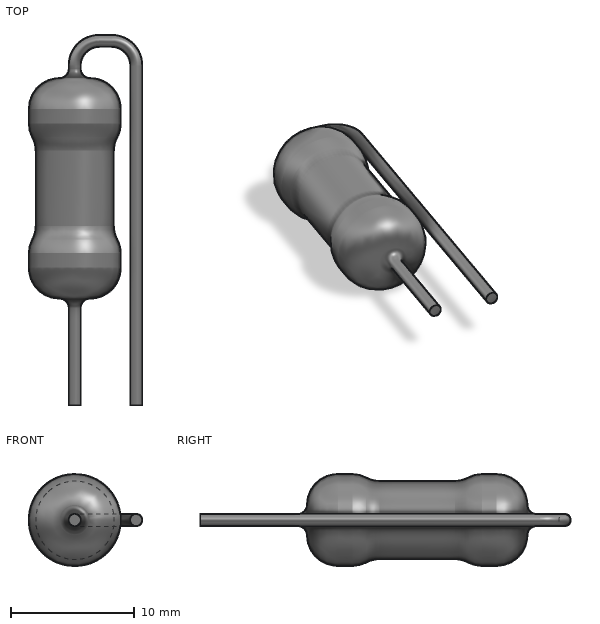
import cadquery as cq
import math

overall_length = 30.1
lead_diameter = 1.0
lead_spacing = 5.0
bend_radius = 2.0
lead_straight = 0.3
neck_fillet = 0.72

body_length = 17.95
cap_diameter = 7.5
waist_diameter = 6.38
cap_land = 1.17
shoulder_length = 2.2

lead_radius = lead_diameter / 2
cap_radius = cap_diameter / 2
waist_radius = waist_diameter / 2
neck_radius = lead_radius + neck_fillet
end_round = cap_radius - neck_radius
bend_start_y = overall_length - lead_radius - bend_radius
body_top_y = bend_start_y - lead_straight - neck_fillet
body_middle_y = body_top_y - body_length / 2

half_step = (cap_radius - waist_radius) / 2
half_shoulder = shoulder_length / 2
shoulder_radius = (half_shoulder**2 + half_step**2) / (2 * half_step)


def make_body():
    """Revolved body with both necks; its profile is symmetric about the waist middle."""
    body_end = body_length / 2
    neck_end = body_end + neck_fillet
    land_outer = body_end - end_round
    land_inner = land_outer - cap_land
    shoulder_middle = land_inner - half_shoulder
    waist_end = land_inner - shoulder_length
    shoulder_middle_radius = waist_radius + half_step
    profile = (
        cq.Workplane("XY", origin=(0, body_middle_y, 0))
        .moveTo(0, -neck_end)
        .lineTo(lead_radius, -neck_end)
        .radiusArc((neck_radius, -body_end), neck_fillet)
        .radiusArc((cap_radius, -land_outer), -end_round)
        .lineTo(cap_radius, -land_inner)
        .radiusArc((shoulder_middle_radius, -shoulder_middle), -shoulder_radius)
        .radiusArc((waist_radius, -waist_end), shoulder_radius)
        .lineTo(waist_radius, waist_end)
        .radiusArc((shoulder_middle_radius, shoulder_middle), shoulder_radius)
        .radiusArc((cap_radius, land_inner), -shoulder_radius)
        .lineTo(cap_radius, land_outer)
        .radiusArc((neck_radius, body_end), -end_round)
        .radiusArc((lead_radius, neck_end), neck_fillet)
        .lineTo(0, neck_end)
        .close()
    )
    return profile.revolve(360, (0, 0, 0), (0, 1, 0))


def make_straight_lead():
    """Lead leaving the lower end; it reaches into the body for a solid joint."""
    return cq.Workplane("XZ").circle(lead_radius).extrude(-body_middle_y)


def make_bent_lead():
    """Lead leaving the upper end, bent twice and running back beside the body."""
    diagonal = bend_radius * math.sqrt(0.5)
    far_bend_x = lead_spacing - bend_radius
    bend_top_y = bend_start_y + bend_radius
    path = (
        cq.Workplane("XY")
        .moveTo(0, body_middle_y)
        .lineTo(0, bend_start_y)
        .threePointArc((bend_radius - diagonal, bend_start_y + diagonal), (bend_radius, bend_top_y))
        .lineTo(far_bend_x, bend_top_y)
        .threePointArc((far_bend_x + diagonal, bend_start_y + diagonal), (lead_spacing, bend_start_y))
        .lineTo(lead_spacing, 0)
    )
    section = cq.Workplane("XZ", origin=(0, body_middle_y, 0)).circle(lead_radius)
    return section.sweep(path)


result = make_body().union(make_straight_lead()).union(make_bent_lead())